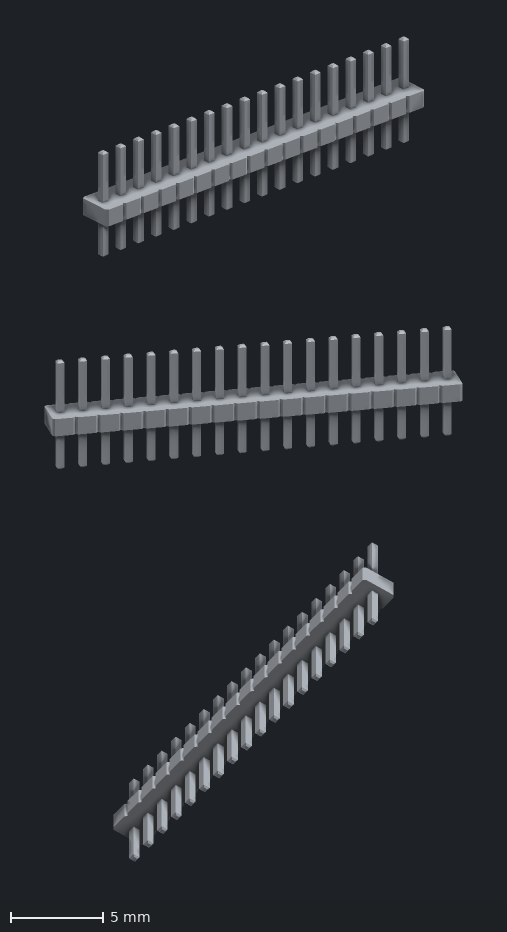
import cadquery as cq

pin_count = 18
strip_length = 22.85
pitch = strip_length / pin_count

body_width = 2.1
body_height = 1.0
cell_chamfer = 0.128

pin_side = 0.41
pin_above = 3.0
pin_below = 2.3
tip_chamfer = 0.1
pin_length = pin_below + body_height + pin_above

cell_positions = [(0, (i - (pin_count - 1) / 2) * pitch) for i in range(pin_count)]


def make_body():
    """Row of chamfered cells joined end to end, leaving V notches between neighbours."""
    half_width = body_width / 2
    half_pitch = pitch / 2
    side = []
    for _, y in cell_positions:
        side += [
            (half_width - cell_chamfer, y - half_pitch),
            (half_width, y - half_pitch + cell_chamfer),
            (half_width, y + half_pitch - cell_chamfer),
        ]
    side.append((half_width - cell_chamfer, strip_length / 2))
    outline = side + [(-x, -y) for x, y in side]
    return cq.Workplane("XY").polyline(outline).close().extrude(body_height)


def make_pin():
    """Square pin through the insulator, tapered at both ends."""
    return (
        cq.Workplane("XY")
        .workplane(offset=-pin_below)
        .rect(pin_side, pin_side)
        .extrude(pin_length)
        .faces("<Z or >Z")
        .chamfer(tip_chamfer)
    )


result = make_body()
pin = make_pin()
for position in cell_positions:
    result = result.union(pin.translate((*position, 0)))